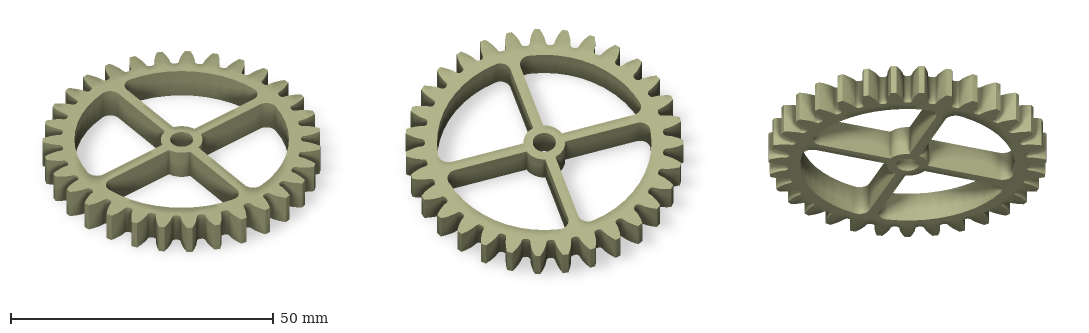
import cadquery as cq
import math

tooth_count = 31
overall_width = 53.0
root_radius = 22.8
pitch_radius = 24.8
root_fillet = 0.7
pressure_angle = math.radians(20)
thickness = 6.0

rim_inner_radius = 20.45
hub_radius = 3.95
bore_diameter = 4.4
spoke_count = 4
spoke_width = 2.0
window_fillet = 2.0

base_radius = pitch_radius * math.cos(pressure_angle)
pitch_angle = 2 * math.pi / tooth_count
flank_points = 6

fillet_center_radius = root_radius + root_fillet
fillet_tangent_length = math.sqrt(fillet_center_radius**2 - base_radius**2)
flank_start_radius = math.hypot(base_radius, fillet_tangent_length - root_fillet)


def involute(angle):
    return math.tan(angle) - angle


def polar(radius, angle):
    return (radius * math.cos(angle), radius * math.sin(angle))


def half_tooth_angle(radius):
    """Half of the angle covered by an involute tooth at the given radius."""
    flank_angle = math.acos(base_radius / radius)
    return pitch_angle / 4 + involute(pressure_angle) - involute(flank_angle)


half_width = overall_width / 2
teeth_per_quarter = round(tooth_count / 4)
tip_corner_angle = teeth_per_quarter * pitch_angle - half_tooth_angle(half_width)
tip_radius = half_width / math.sin(tip_corner_angle)

fillet_center_angle = half_tooth_angle(fillet_center_radius) + root_fillet / base_radius


def fillet_middle(tooth_angle, side):
    """Midpoint of the root fillet on one side (+1 or -1) of a tooth."""
    center_angle = tooth_angle + side * fillet_center_angle
    center = cq.Vector(*polar(fillet_center_radius, center_angle))
    root_end = cq.Vector(*polar(root_radius, center_angle))
    flank_angle = tooth_angle + side * half_tooth_angle(flank_start_radius)
    flank_end = cq.Vector(*polar(flank_start_radius, flank_angle))
    toward_middle = (root_end + flank_end) * 0.5 - center
    middle = center + toward_middle.normalized() * root_fillet
    return (middle.x, middle.y)


def make_gear_blank():
    """Solid toothed disc, with one tooth centered on the +X axis."""
    flank_height = tip_radius - flank_start_radius
    flank_radii = [flank_start_radius + flank_height * i / (flank_points - 1) for i in range(flank_points)]

    outline = cq.Workplane("XY").moveTo(*polar(root_radius, -fillet_center_angle))
    for tooth in range(tooth_count):
        angle = tooth * pitch_angle
        next_angle = angle + pitch_angle
        rising = [polar(r, angle - half_tooth_angle(r)) for r in flank_radii]
        falling = [polar(r, angle + half_tooth_angle(r)) for r in reversed(flank_radii)]
        land_start = polar(root_radius, angle + fillet_center_angle)
        land_middle = polar(root_radius, angle + pitch_angle / 2)
        land_end = polar(root_radius, next_angle - fillet_center_angle)

        outline = outline.threePointArc(fillet_middle(angle, -1), rising[0])
        outline = outline.spline(rising[1:], includeCurrent=True)
        outline = outline.threePointArc(polar(tip_radius, angle), falling[0])
        outline = outline.spline(falling[1:], includeCurrent=True)
        outline = outline.threePointArc(fillet_middle(angle, 1), land_start)
        outline = outline.threePointArc(land_middle, land_end)
    return outline.close().extrude(thickness)


def make_window():
    """Opening in the first quadrant between two spokes, the hub and the rim."""
    spoke_side = spoke_width / 2
    hub_reach = math.sqrt(hub_radius**2 - spoke_side**2)
    rim_reach = math.sqrt(rim_inner_radius**2 - spoke_side**2)
    middle = math.pi / spoke_count
    window = (
        cq.Workplane("XY")
        .moveTo(hub_reach, spoke_side)
        .lineTo(rim_reach, spoke_side)
        .threePointArc(polar(rim_inner_radius, middle), (spoke_side, rim_reach))
        .lineTo(spoke_side, hub_reach)
        .threePointArc(polar(hub_radius, middle), (hub_reach, spoke_side))
        .close()
        .extrude(thickness)
    )
    rim_corners = [(rim_reach, spoke_side, 0), (spoke_side, rim_reach, 0)]
    for corner in rim_corners:
        corner_edge = cq.selectors.NearestToPointSelector(corner)
        window = window.edges("|Z").edges(corner_edge).fillet(window_fillet)
    return window


result = make_gear_blank()

window = make_window()
for spoke in range(spoke_count):
    result = result.cut(window.rotate((0, 0, 0), (0, 0, 1), spoke * 360 / spoke_count))

bore = cq.Workplane("XY").circle(bore_diameter / 2).extrude(thickness)
result = result.cut(bore)